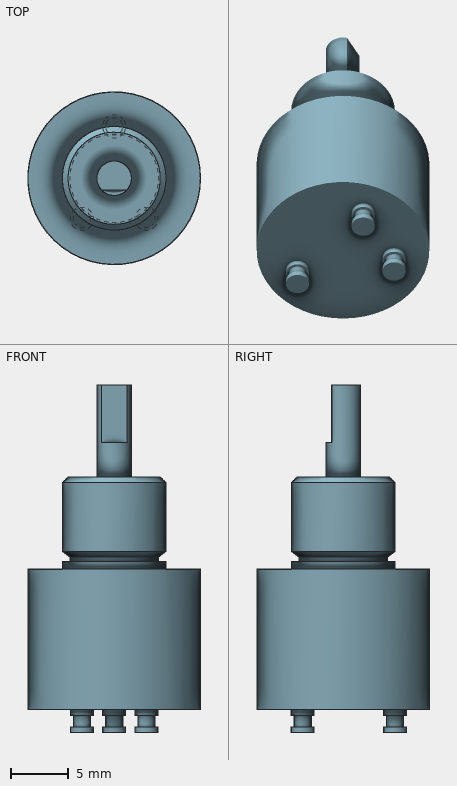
import cadquery as cq
import math

body_diameter = 15.0
body_height = 12.2

bushing_diameter = 9.0
bushing_height = 8.0
bushing_chamfer = 0.5
collar_height = 0.65
groove_diameter = 7.69
groove_top_height = 1.05
groove_taper_height = 0.5

shaft_diameter = 3.0
shaft_length = 8.0
flat_length = 5.0
flat_offset = 1.0

pin_length = 2.0
pin_flange_diameter = 2.0
pin_neck_diameter = 1.5
pin_flange_height = 0.5
pin_circle_radius = 4.5
pin_half_spread = 38.5
pin_angles = [90.0, 270.0 - pin_half_spread, 270.0 + pin_half_spread]

body_base = pin_length
body_top = body_base + body_height
bushing_top = body_top + bushing_height
shaft_top = bushing_top + shaft_length


def cylinder(diameter, base, top):
    """Cylinder about the Z axis between two heights."""
    return cq.Workplane("XY").workplane(offset=base).circle(diameter / 2).extrude(top - base)


def make_bushing():
    """Revolve the half profile of the collar, groove and chamfered bushing."""
    outer_radius = bushing_diameter / 2
    groove_radius = groove_diameter / 2
    collar_top = body_top + collar_height
    groove_top = body_top + groove_top_height
    profile = [
        (0, body_top),
        (outer_radius, body_top),
        (outer_radius, collar_top),
        (groove_radius, collar_top),
        (groove_radius, groove_top),
        (outer_radius, groove_top + groove_taper_height),
        (outer_radius, bushing_top - bushing_chamfer),
        (outer_radius - bushing_chamfer, bushing_top),
        (0, bushing_top),
    ]
    return cq.Workplane("XZ").polyline(profile).close().revolve(360, (0, 0, 0), (0, 1, 0))


def make_shaft():
    """Round shaft with the -Y side cut away over the flat length."""
    shaft = cylinder(shaft_diameter, bushing_top, shaft_top)
    cutter = cq.Workplane("XY").box(
        shaft_diameter, shaft_diameter, flat_length, centered=(True, False, False)
    )
    cutter_y = -flat_offset - shaft_diameter
    return shaft.cut(cutter.translate((0, cutter_y, shaft_top - flat_length)))


def make_pin(angle):
    """One terminal: a neck between two flanges, placed on the pin circle."""
    pin = cylinder(pin_neck_diameter, 0, pin_length)
    pin = pin.union(cylinder(pin_flange_diameter, 0, pin_flange_height))
    pin = pin.union(cylinder(pin_flange_diameter, pin_length - pin_flange_height, pin_length))
    x = pin_circle_radius * math.cos(math.radians(angle))
    y = pin_circle_radius * math.sin(math.radians(angle))
    return pin.translate((x, y, 0))


result = cylinder(body_diameter, body_base, body_top)
result = result.union(make_bushing()).union(make_shaft())
for pin_angle in pin_angles:
    result = result.union(make_pin(pin_angle))